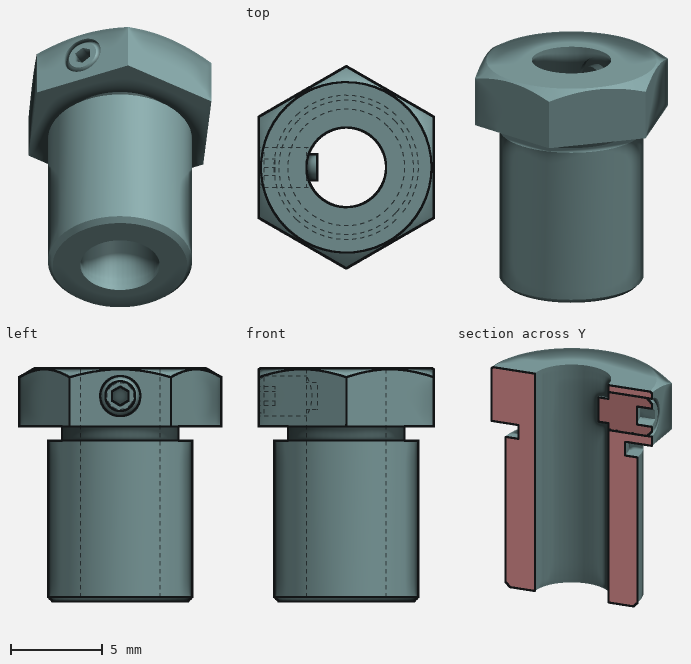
import cadquery as cq
import math

total_height = 12.7
hex_across_flats = 9.52
head_height = 3.18
neck_height = 0.77
neck_diameter = 6.35
shank_diameter = 7.85
shank_chamfer = 0.27
bore_diameter = 4.32
top_face_diameter = 9.27
head_chamfer_angle = 30.0

screw_diameter = 2.18
screw_face_diameter = 1.63
screw_drop = 1.52
dog_diameter = 1.45
dog_end_radius = 1.57
socket_across_flats = 0.89
socket_depth = 0.89

hex_across_corners = hex_across_flats / math.cos(math.radians(30))
head_bottom = total_height - head_height
shank_height = head_bottom - neck_height
bore_radius = bore_diameter / 2
screw_face_x = -hex_across_flats / 2
screw_z = total_height - screw_drop
screw_body_length = -bore_radius - screw_face_x
dog_length = bore_radius - dog_end_radius
screw_chamfer = (screw_diameter - screw_face_diameter) / 2


def screw_plane(x):
    """Plane across the screw axis at x, with its normal along +X."""
    return cq.Workplane(cq.Plane(origin=(x, 0, screw_z), xDir=(0, 0, 1), normal=(1, 0, 0)))


def head_chamfer_cone():
    """Body of revolution that trims the top corners of the hexagon."""
    top_radius = top_face_diameter / 2
    corner_radius = hex_across_corners / 2
    drop = (corner_radius - top_radius) * math.tan(math.radians(head_chamfer_angle))
    return (
        cq.Workplane("XZ")
        .moveTo(0, head_bottom)
        .lineTo(corner_radius, head_bottom)
        .lineTo(corner_radius, total_height - drop)
        .lineTo(top_radius, total_height)
        .lineTo(0, total_height)
        .close()
        .revolve(360, (0, 0, 0), (0, 1, 0))
    )


def make_bush():
    shank = cq.Workplane("XY").circle(shank_diameter / 2).extrude(shank_height)
    shank = shank.faces("<Z").chamfer(shank_chamfer)
    neck = cq.Workplane("XY").workplane(offset=shank_height).circle(neck_diameter / 2).extrude(neck_height)
    head = (
        cq.Workplane("XY")
        .workplane(offset=head_bottom)
        .transformed(rotate=(0, 0, 90))
        .polygon(6, hex_across_corners)
        .extrude(head_height)
        .intersect(head_chamfer_cone())
    )
    bore = cq.Workplane("XY").circle(bore_radius).extrude(total_height)
    screw_hole = screw_plane(screw_face_x).circle(screw_diameter / 2).extrude(-screw_face_x)
    return shank.union(neck).union(head).cut(bore).cut(screw_hole)


def make_set_screw():
    body = screw_plane(screw_face_x).circle(screw_diameter / 2).extrude(screw_body_length)
    body = body.faces("<X").chamfer(screw_chamfer)
    dog = screw_plane(-bore_radius).circle(dog_diameter / 2).extrude(dog_length)
    socket_across_corners = socket_across_flats / math.cos(math.radians(30))
    socket = screw_plane(screw_face_x).polygon(6, socket_across_corners).extrude(socket_depth)
    return body.union(dog).cut(socket)


bush = make_bush()
set_screw = make_set_screw()

result = cq.Compound.makeCompound([bush.val(), set_screw.val()])